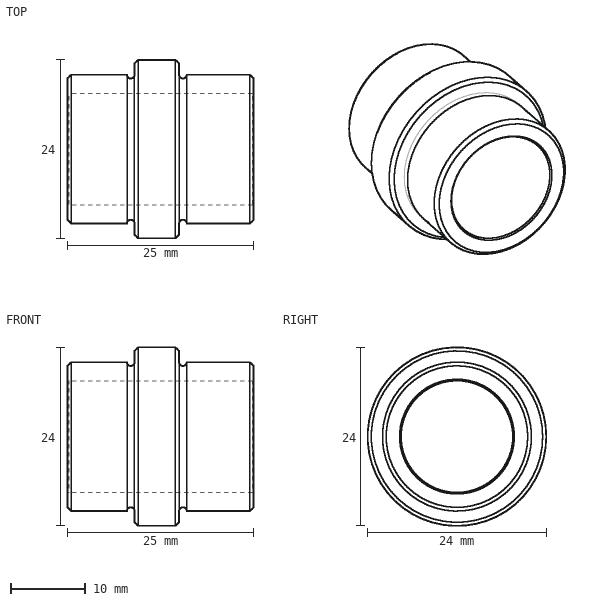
import cadquery as cq

length = 25.0
sleeve_radius = 20.0 / 2
bore_radius = 15.0 / 2
edge_chamfer = 0.5
bore_chamfer = 0.2

collar_radius = 24.0 / 2
collar_width = 6.0
collar_start = -3.5
collar_end = collar_start + collar_width

groove_radius = 0.5
groove_width = 2 * groove_radius


def cylinder(start, end, radius):
    """Solid cylinder along X between two positions."""
    return cq.Workplane("YZ").workplane(offset=start).circle(radius).extrude(end - start)


def relief_groove(start):
    """Ring cutter of round section, centred on the sleeve surface."""
    return (
        cq.Workplane("XY")
        .center(start + groove_radius, sleeve_radius)
        .circle(groove_radius)
        .revolve(360, (0, -sleeve_radius), (1, -sleeve_radius))
    )


sleeve = cylinder(-length / 2, length / 2, sleeve_radius).faces("<X or >X").chamfer(edge_chamfer)
for groove_start in (collar_start - groove_width, collar_end):
    sleeve = sleeve.cut(relief_groove(groove_start))

collar = cylinder(collar_start, collar_end, collar_radius).faces("<X or >X").chamfer(edge_chamfer)

bore = cylinder(-length / 2, length / 2, bore_radius)
result = sleeve.union(collar).cut(bore)
result = result.faces("<X or >X").edges(cq.selectors.RadiusNthSelector(0)).chamfer(bore_chamfer)